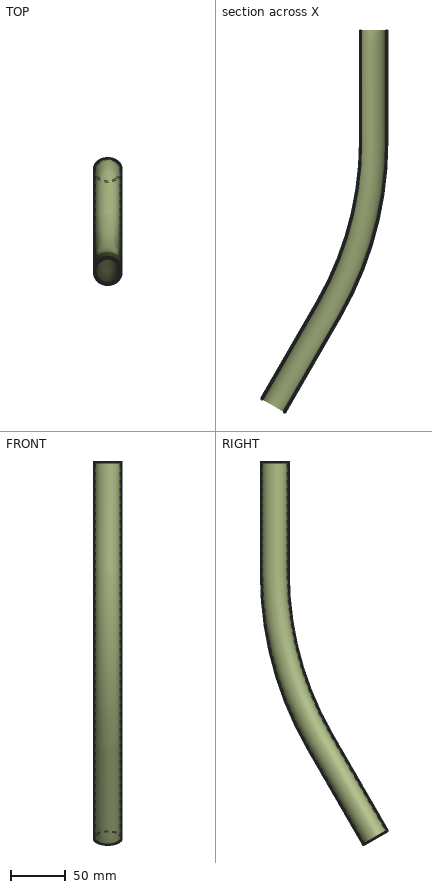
import cadquery as cq
import math

overall_height = 348.5
outer_diameter = 25.5
inner_diameter = 22.3
bend_radius = 304.8
bend_angle = 30.0
lower_length = 101.7

angle = math.radians(bend_angle)
bend_height = bend_radius * math.sin(angle)
lower_height = lower_length * math.cos(angle)
end_face_drop = outer_diameter / 2 * math.sin(angle)
upper_length = overall_height - bend_height - lower_height - end_face_drop


def bend_point(turn):
    """Centreline point (Y, Z) after turning by the given angle in the bend."""
    return (
        bend_radius * (1 - math.cos(turn)),
        -upper_length - bend_radius * math.sin(turn),
    )


bend_end_y, bend_end_z = bend_point(angle)
lower_end = (bend_end_y + lower_length * math.sin(angle), bend_end_z - lower_height)
centreline = (
    cq.Workplane("YZ")
    .lineTo(0, -upper_length)
    .threePointArc(bend_point(angle / 2), (bend_end_y, bend_end_z))
    .lineTo(*lower_end)
)

section = cq.Workplane("XY").circle(outer_diameter / 2).circle(inner_diameter / 2)
result = section.sweep(centreline)